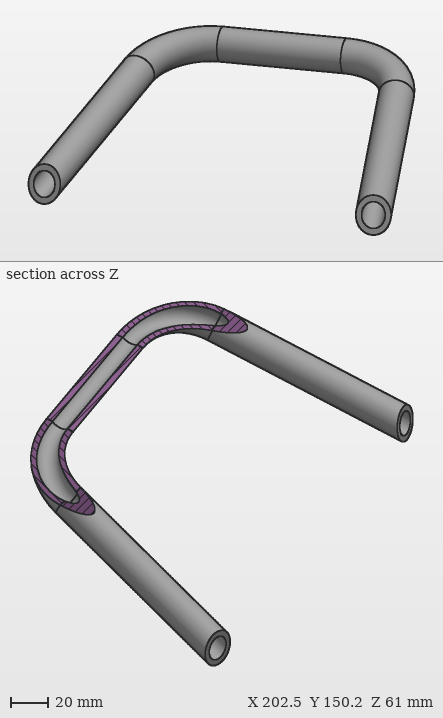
import cadquery as cq
import math

OUTER_DIAMETER = 19.05
BORE_DIAMETER = 12.7
OUTER_RADIUS = OUTER_DIAMETER / 2
BORE_RADIUS = BORE_DIAMETER / 2

CROSSBAR_LENGTH = 69.08
BEND_RADIUS = 38.1
BEND_ANGLE = 80.0
LEG_LENGTH = 114.13

HANDLE_TILT = 16.52

CUT_TURN = 10.0
CUT_LEAN = 12.0

LEFT = -1
RIGHT = 1
SIDES = (LEFT, RIGHT)

X_AXIS = cq.Vector(1, 0, 0)
ORIGIN = cq.Vector(0, 0, 0)

bend_angle_rad = math.radians(BEND_ANGLE)
leg_start_x = CROSSBAR_LENGTH / 2 + BEND_RADIUS * math.sin(bend_angle_rad)
leg_start_y = -BEND_RADIUS * (1 - math.cos(bend_angle_rad))

CUT_ALLOWANCE = OUTER_DIAMETER
CUTTER_SIZE = 3 * OUTER_DIAMETER


def tube(plane, length):
    """Straight tube along the normal of the plane."""
    return cq.Workplane(plane).circle(OUTER_RADIUS).circle(BORE_RADIUS).extrude(length)


def tilt(body):
    """Swing a body of the flat handle down about the crossbar axis."""
    return body.rotate(ORIGIN, X_AXIS, HANDLE_TILT)


def make_crossbar():
    """Straight tube joining the two bends."""
    start = cq.Plane(origin=(-CROSSBAR_LENGTH / 2, 0, 0), xDir=(0, 1, 0), normal=(1, 0, 0))
    return tilt(tube(start, CROSSBAR_LENGTH))


def make_bend(side):
    """Curved tube from the end of the crossbar to the start of the leg."""
    start = cq.Plane(origin=(side * CROSSBAR_LENGTH / 2, 0, 0), xDir=(0, 1, 0), normal=(1, 0, 0))
    section = cq.Workplane(start).circle(OUTER_RADIUS).circle(BORE_RADIUS)
    axis_start = (-BEND_RADIUS, 0)
    axis_end = (-BEND_RADIUS, -side)
    bend = section.revolve(BEND_ANGLE, axis_start, axis_end)
    return tilt(bend)


def make_end_cutter(side, leg_end):
    """Block whose inner face is the slanted end face through the end of the leg axis."""
    turn = math.radians(CUT_TURN)
    lean = math.radians(CUT_LEAN)
    outward = cq.Vector(
        side * math.sin(turn),
        -math.cos(turn) * math.cos(lean),
        math.cos(turn) * math.sin(lean),
    )
    cut_plane = cq.Plane(origin=leg_end, xDir=X_AXIS.cross(outward), normal=outward)
    return cq.Workplane(cut_plane).rect(CUTTER_SIZE, CUTTER_SIZE).extrude(CUTTER_SIZE)


def make_leg(side):
    """Straight tube from the bend to its slanted open end."""
    start = cq.Vector(side * leg_start_x, leg_start_y, 0)
    direction = cq.Vector(side * math.cos(bend_angle_rad), -math.sin(bend_angle_rad), 0)
    start_plane = cq.Plane(origin=start, xDir=(0, 0, 1), normal=direction)
    leg = tilt(tube(start_plane, LEG_LENGTH + CUT_ALLOWANCE))

    flat_end = start + direction * LEG_LENGTH
    leg_end = cq.Vertex.makeVertex(*flat_end.toTuple()).rotate(ORIGIN, X_AXIS, HANDLE_TILT).Center()
    return leg.cut(make_end_cutter(side, leg_end))


crossbar = make_crossbar()
bodies = [crossbar.val()]
for side in SIDES:
    bodies.append(make_bend(side).val())
    bodies.append(make_leg(side).val())

result = cq.Compound.makeCompound(bodies)